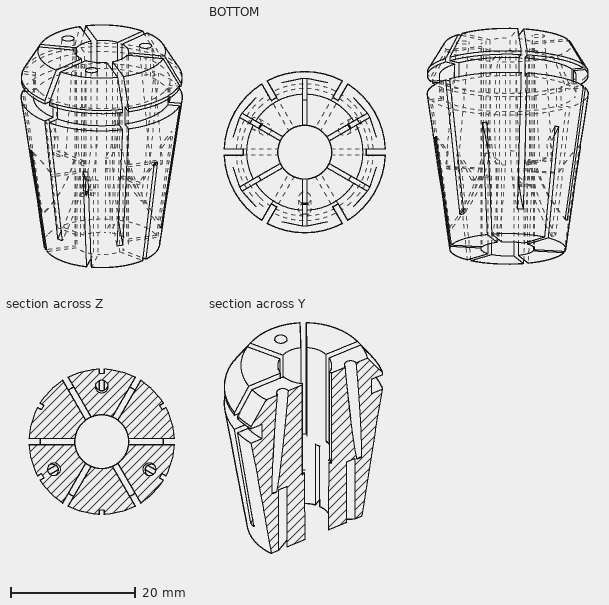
import cadquery as cq
import math

height = 34.0
bore_radius = 4.32
taper_top_radius = 13.0
taper_angle = 8.0
taper_height = 25.9
neck_radius = 11.0
flange_radius = 12.95
flange_bottom_z = 28.95
flange_edge_z = 29.5
nose_radius = 10.27
taper_bottom_radius = taper_top_radius - taper_height * math.tan(math.radians(taper_angle))

slot_count = 6
slot_pitch = 360 / slot_count
saw_radius = 25.0
clearance = 3.4
reach_radius = taper_top_radius + clearance

top_slot_width = 1.0
top_slot_outer_z = 3.98
top_slot_inner_z = 15.2

bottom_slot_width = 0.78
bottom_slot_outer_z = 18.02
bottom_slot_inner_z = 13.15
bottom_slot_inner_radius = 8.35

hole_count = 3
hole_first_angle = 90.0
hole_radius = 1.0
hole_circle_radius = 7.38
hole_tilt = 5.0
hole_depth = 21.08


def taper_radius(z):
    """Outside radius of the tapered body at height z."""
    return taper_bottom_radius + z * math.tan(math.radians(taper_angle))


def make_body():
    """Revolved outside shape with the through bore."""
    outline = [
        (bore_radius, 0),
        (taper_bottom_radius, 0),
        (taper_top_radius, taper_height),
        (neck_radius, taper_height),
        (neck_radius, flange_bottom_z),
        (flange_radius, flange_bottom_z),
        (flange_radius, flange_edge_z),
        (nose_radius, height),
        (bore_radius, height),
    ]
    return cq.Workplane("XZ").polyline(outline).close().revolve(360, (0, 0, 0), (0, 1, 0))


def make_slot(width, inner_radius, inner_z, outer_z, open_z, arc_radius):
    """Slot along +X that is open at height open_z, beyond the body.

    Its closed end is level out to inner_radius and then follows an arc to the tapered outside.
    The sign of arc_radius selects the side on which the arc bulges.
    """
    return (
        cq.Workplane("XZ")
        .moveTo(0, open_z)
        .lineTo(0, inner_z)
        .lineTo(inner_radius, inner_z)
        .radiusArc((taper_radius(outer_z), outer_z), arc_radius)
        .lineTo(reach_radius, outer_z)
        .lineTo(reach_radius, open_z)
        .close()
        .extrude(width / 2, both=True)
    )


def make_hole():
    """Hole in the +X half, leaning outward as it goes down."""
    tilt = math.radians(hole_tilt)
    down = cq.Vector(math.sin(tilt), 0, -math.cos(tilt))
    start = cq.Vector(hole_circle_radius, 0, height) - down * clearance
    return cq.Workplane(cq.Solid.makeCylinder(hole_radius, hole_depth + clearance, start, down))


def cut_around(body, cutter, count, first_angle):
    """Cut equally spaced copies of the cutter around the Z axis."""
    for index in range(count):
        angle = first_angle + index * 360 / count
        body = body.cut(cutter.rotate((0, 0, 0), (0, 0, 1), angle))
    return body


top_slot = make_slot(
    top_slot_width,
    bore_radius,
    top_slot_inner_z,
    top_slot_outer_z,
    height + clearance,
    -saw_radius,
)
bottom_slot = make_slot(
    bottom_slot_width,
    bottom_slot_inner_radius,
    bottom_slot_inner_z,
    bottom_slot_outer_z,
    -clearance,
    saw_radius,
)

result = make_body()
result = cut_around(result, top_slot, slot_count, 0)
result = cut_around(result, bottom_slot, slot_count, slot_pitch / 2)
result = cut_around(result, make_hole(), hole_count, hole_first_angle)